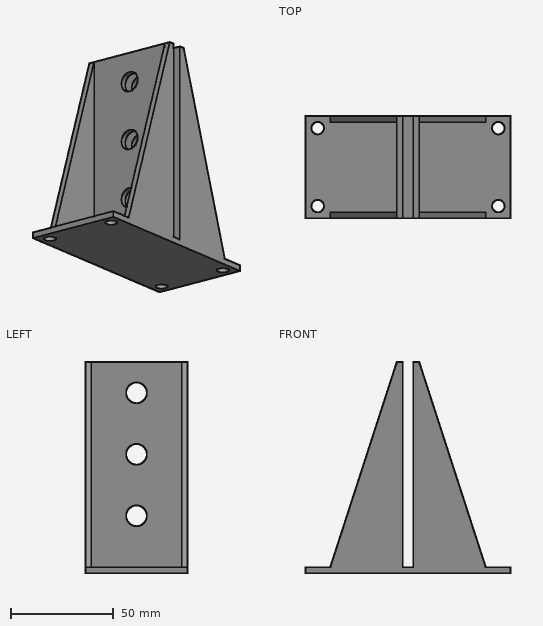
import cadquery as cq

length = 100.0
width = 50.0
height = 103.0

wall = 3.0
gap = 5.0
foot_margin = 12.0

mount_diameter = 6.0
mount_inset = 6.0

cross_diameter = 10.0
cross_pitch = 30.0
cross_lowest = 28.0
cross_count = 3

inner_x = gap / 2
outer_x = inner_x + wall
toe_x = length / 2 - foot_margin


def make_base():
    """Flat base plate with a mounting hole in each corner."""
    plate = cq.Workplane("XY").box(length, width, wall, centered=(True, True, False))
    return (
        plate.faces(">Z").workplane()
        .rect(length - 2 * mount_inset, width - 2 * mount_inset, forConstruction=True)
        .vertices()
        .hole(mount_diameter)
    )


def make_upright():
    """Upright on the +X side: a tapered block hollowed to a plate with two gussets."""
    block = (
        cq.Workplane("XZ")
        .polyline([(inner_x, wall), (toe_x, wall), (outer_x, height), (inner_x, height)])
        .close()
        .extrude(width / 2, both=True)
    )
    pocket = (
        cq.Workplane("XY")
        .box(toe_x - outer_x, width - 2 * wall, height - wall, centered=(False, True, False))
        .translate((outer_x, 0, wall))
    )
    return block.cut(pocket)


def make_cross_holes():
    """Cylinders along X that pierce both uprights."""
    centers = [(0, cross_lowest + i * cross_pitch) for i in range(cross_count)]
    return (
        cq.Workplane("YZ")
        .pushPoints(centers)
        .circle(cross_diameter / 2)
        .extrude(length / 2, both=True)
    )


upright = make_upright()
result = make_base().union(upright).union(upright.mirror("YZ")).cut(make_cross_holes())